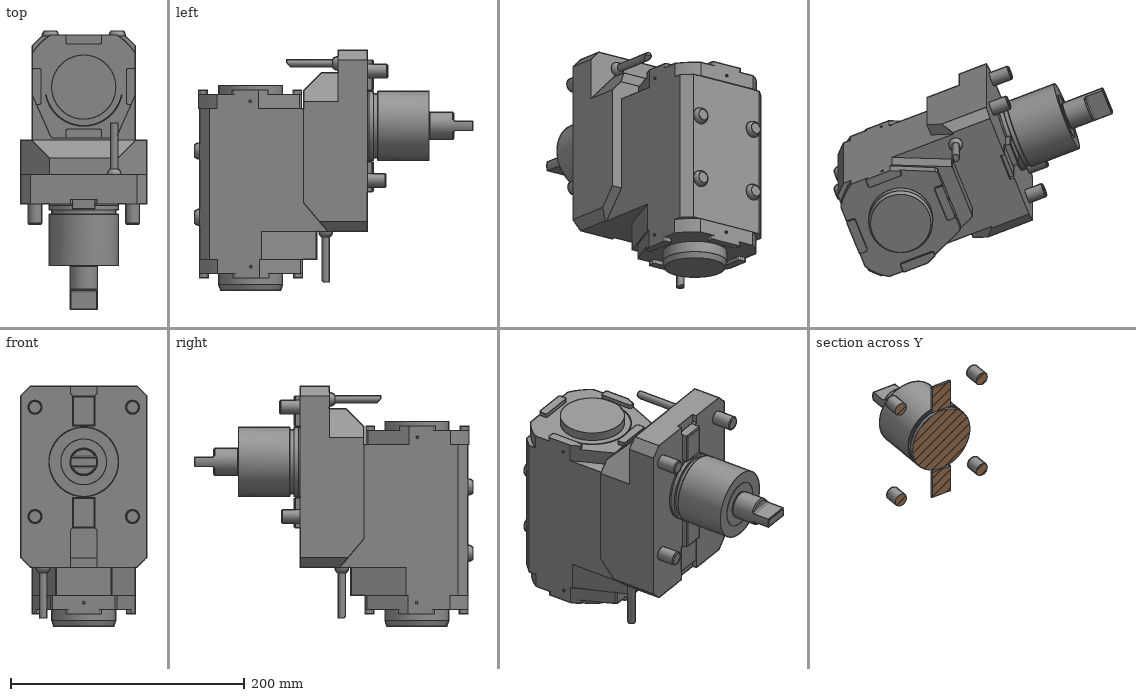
import cadquery as cq
import math


flange_width = 108.0
flange_top = 65.0
flange_bottom = -90.4
flange_thickness = 25.0
flange_corner = 8.4

block_back = 54.8
block_top = 45.7
block_side_chamfer = 24.6
block_back_chamfer = 15.3
block_slope_depth = 20.5
block_slope_height = 24.5

housing_width = 88.5
housing_front = 33.5
housing_back = 144.0
housing_top = 14.8
housing_bottom = -114.5
housing_corner = 8.4
nose_front = 43.3
nose_width = 46.9
nose_corner = 0.7
nose_taper_start = 90.9

cover_height = 12.2
cover_round_radius = 52.5
cover_taper_offset = 7.2
cover_front_width = 53.5
cover_front_corner = 1.7
cover_dot_diameter = 2.1
cover_dot_depth = 1.0
cover_dot_height = 6.2
top_cover_y = 100.7
bottom_cover_y = 100.0
tab_length = 30.5
tab_width = 7.7
tab_height = 3.5
tab_fillet = 1.7
ring_diameter = 67.0
ring_width = 0.5
ring_depth = 0.2

spindle_y = 100.2
spindle_diameter = 55.0
spindle_top = 34.7
spindle_bottom = -141.0
spindle_tip_diameter = 51.6
spindle_tip_height = 5.0

shank_diameter = 59.8
neck_diameter = 59.5
neck_end = -1.5
collar_end = -5.0
groove_diameter = 55.2
groove_end = -8.5
shank_chamfer = 0.5
shank_end = -52.8
seal_diameter = 39.2
seal_depth = 0.2
shaft_diameter = 23.7
shaft_neck_diameter = 23.0
shaft_neck_length = 0.7
shaft_end = -74.1
shaft_chamfer = 1.2
tang_end = -90.5
tang_thickness = 8.1
tang_chamfer = 0.7
tang_root_fillet = 1.2

keyway_width = 22.5
keyway_depth = 3.8
keyway_shallow_depth = 0.5
keyway_step_height = 8.0
keyway_narrowing = 1.7
key_width = 19.1
key_outer_z = 56.7
key_inner_z = 30.5
key_height = 5.0
key_chamfer = 1.0

bolt_diameter = 12.0
bolt_x = 41.8
bolt_z = 46.9
upper_bolt_length = 17.5
lower_bolt_length = 16.0
bolt_chamfer = 1.0

button_diameter = 14.0
button_flat_diameter = 9.5
button_height = 4.5
button_bulge = 0.7
button_x = 28.7
button_heights_z = (-21.5, -78.5)

pipe_diameter = 6.5
pipe_ball_diameter = 12.0
rear_pipe_x = 26.0
rear_pipe_z = 53.5
rear_pipe_length = 44.2
rear_pipe_bevel = 3.8
lower_pipe_x = -35.0
lower_pipe_y = 35.9
lower_pipe_length = 43.5
lower_pipe_bevel = 1.5


def box(x_range, y_range, z_range):
    """Box between two corner coordinates on each axis."""
    sizes = [high - low for low, high in (x_range, y_range, z_range)]
    return cq.Workplane("XY").box(*sizes, centered=False).translate((x_range[0], y_range[0], z_range[0]))


def rod_forward(diameter, start_y, end_y, x=0, z=0):
    """Cylinder along Y running from start_y forwards (towards -Y) to end_y."""
    plane = cq.Workplane("XZ", origin=(x, start_y, z))
    return plane.circle(diameter / 2).extrude(start_y - end_y)


def prism(points, z_low, z_high):
    """Vertical prism over an XY outline."""
    return cq.Workplane("XY", origin=(0, 0, z_low)).polyline(points).close().extrude(z_high - z_low)


def mirrored_outline(right_side):
    """Close an outline by mirroring its +X points to -X."""
    return right_side + [(-x, y) for x, y in reversed(right_side)]


def make_flange():
    half = flange_width / 2
    height = flange_top - flange_bottom
    middle = (flange_top + flange_bottom) / 2
    plate = cq.Workplane("XY").box(flange_width, flange_thickness, height)
    plate = plate.edges("|Y").chamfer(flange_corner)
    plate = plate.translate((0, flange_thickness / 2, middle))

    slope_profile = [
        (0, flange_bottom),
        (block_back - block_slope_depth, flange_bottom),
        (block_back, flange_bottom + block_slope_height),
        (block_back, block_top - block_back_chamfer),
        (block_back - block_back_chamfer, block_top),
        (0, block_top),
    ]
    block = cq.Workplane("YZ", origin=(-half, 0, 0)).polyline(slope_profile).close().extrude(flange_width)
    front_outline = mirrored_outline([
        (half - flange_corner, flange_bottom),
        (half, flange_bottom + flange_corner),
        (half, block_top - block_side_chamfer),
        (half - block_side_chamfer, block_top),
    ])
    envelope = cq.Workplane("XZ", origin=(0, block_back, 0)).polyline(front_outline).close().extrude(block_back)
    return plate.union(block.intersect(envelope))


def make_housing():
    half = housing_width / 2
    back = [
        (half, housing_back - housing_corner),
        (half - housing_corner, housing_back),
    ]
    body = prism(mirrored_outline([(half, housing_front)] + back), flange_bottom, housing_top)
    nose_outline = [
        (nose_width / 2, nose_front),
        (nose_width / 2 + nose_corner, nose_front + nose_corner),
        (half, nose_taper_start),
    ] + back
    nose = prism(mirrored_outline(nose_outline), housing_bottom, flange_bottom)
    return body.union(nose)


def make_cover(center_y):
    """Cover with its base on Z = 0, four edge tabs on top and a small dot hole in each side."""
    half = housing_width / 2
    front = center_y - half
    right_side = [
        (cover_front_width / 2, front),
        (cover_front_width / 2 + cover_front_corner, front + cover_front_corner),
        (half, center_y - cover_taper_offset),
        (half, center_y + half),
    ]
    outline = mirrored_outline(right_side)
    full_height = cover_height + tab_height
    center = cq.Workplane("XY").center(0, center_y)
    round_limit = center.circle(cover_round_radius).extrude(full_height)
    envelope = prism(outline, 0, full_height).intersect(round_limit)

    blank = cq.Workplane("XY").box(tab_length, tab_width, full_height, centered=(True, False, False))
    tab = blank.edges("|Z").fillet(tab_fillet).translate((0, -half, 0))
    dot = rod_forward(cover_dot_diameter, -half + cover_dot_depth, -half, 0, cover_dot_height)
    cover = center.rect(2 * half, 2 * half).extrude(cover_height)
    for angle in (0, 90, 180, 270):
        cover = cover.union(tab.rotate((0, 0, 0), (0, 0, 1), angle).translate((0, center_y, 0)))
        cover = cover.cut(dot.rotate((0, 0, 0), (0, 0, 1), angle).translate((0, center_y, 0)))
    return cover.intersect(envelope)


def make_ring_groove():
    """Shallow half-ring groove around the front of the upper spindle end."""
    floor_z = housing_top + cover_height - ring_depth
    outer_radius = ring_diameter / 2
    ring = (
        cq.Workplane("XY", origin=(0, spindle_y, floor_z))
        .circle(outer_radius)
        .circle(outer_radius - ring_width)
        .extrude(ring_depth)
    )
    front_half = box(
        (-outer_radius, outer_radius),
        (spindle_y - outer_radius, top_cover_y - cover_taper_offset),
        (floor_z, floor_z + ring_depth),
    )
    return ring.intersect(front_half)


def make_covers():
    top = make_cover(top_cover_y).translate((0, 0, housing_top))
    bottom = make_cover(bottom_cover_y).mirror("XY").translate((0, 0, housing_bottom))
    return top.cut(make_ring_groove()).union(bottom)


def make_spindle():
    radius = spindle_diameter / 2
    profile = [
        (0, spindle_bottom),
        (spindle_tip_diameter / 2, spindle_bottom),
        (radius, spindle_bottom + spindle_tip_height),
        (radius, spindle_top),
        (0, spindle_top),
    ]
    spindle = cq.Workplane("XZ").polyline(profile).close().revolve(360, (0, 0), (0, 1))
    return spindle.translate((0, spindle_y, 0))


def make_shank():
    neck = rod_forward(neck_diameter, flange_thickness, neck_end)
    collar = rod_forward(shank_diameter, neck_end, collar_end)
    groove = rod_forward(groove_diameter, collar_end, groove_end)
    cylinder = rod_forward(shank_diameter, groove_end, shank_end).faces(">Y").chamfer(shank_chamfer)
    seal_recess = rod_forward(seal_diameter, shank_end + seal_depth, shank_end)
    return neck.union(collar).union(groove).union(cylinder).cut(seal_recess)


def make_shaft():
    """Drive shaft whose end is milled to a flat tang with filleted roots."""
    neck = rod_forward(shaft_neck_diameter, 0, shank_end - shaft_neck_length)
    shaft = rod_forward(shaft_diameter, shank_end - shaft_neck_length, shaft_end)
    shaft = shaft.faces("<Y").chamfer(shaft_chamfer)
    tang = rod_forward(shaft_diameter, shaft_end + shaft_chamfer, tang_end).faces("<Y").chamfer(tang_chamfer)
    half = tang_thickness / 2
    slab_profile = (
        cq.Workplane("YZ", origin=(-shaft_diameter / 2, 0, 0))
        .moveTo(tang_end, -half + tang_chamfer)
        .lineTo(tang_end + tang_chamfer, -half)
        .lineTo(shaft_end - tang_root_fillet, -half)
        .radiusArc((shaft_end, -half - tang_root_fillet), tang_root_fillet)
        .lineTo(shaft_end + shaft_chamfer, -half - tang_root_fillet)
        .lineTo(shaft_end + shaft_chamfer, half + tang_root_fillet)
        .lineTo(shaft_end, half + tang_root_fillet)
        .radiusArc((shaft_end - tang_root_fillet, half), tang_root_fillet)
        .lineTo(tang_end + tang_chamfer, half)
        .lineTo(tang_end, half - tang_chamfer)
        .close()
    )
    return neck.union(shaft).union(tang.intersect(slab_profile.extrude(shaft_diameter)))


def make_keyway_end(edge_z, key_end_z, depth):
    """Open end of the keyway, narrowing to the key width where it meets the key."""
    direction = math.copysign(1, edge_z)
    shoulder_z = key_end_z + direction * keyway_narrowing
    outline = mirrored_outline([
        (key_width / 2, key_end_z),
        (keyway_width / 2, shoulder_z),
        (keyway_width / 2, edge_z),
    ])
    return cq.Workplane("XZ", origin=(0, depth, 0)).polyline(outline).close().extrude(depth)


def make_keyway():
    """Full depth at the top; at the bottom a shallow run that steps down to full depth at the edge."""
    half = keyway_width / 2
    upper = make_keyway_end(flange_top, key_outer_z, keyway_depth)
    lower = make_keyway_end(flange_bottom, -key_outer_z, keyway_shallow_depth)
    step = box((-half, half), (0, keyway_depth), (flange_bottom, flange_bottom + keyway_step_height))
    return upper.union(lower).union(step)


def make_keys():
    half = key_width / 2
    key = box((-half, half), (-key_height, flange_thickness / 2), (key_inner_z, key_outer_z))
    key = key.faces("<Y").chamfer(key_chamfer)
    return key.union(key.mirror("XY"))


def make_bolts():
    bolts = cq.Workplane("XY")
    for x in (-bolt_x, bolt_x):
        for z, length in ((bolt_z, upper_bolt_length), (-bolt_z, lower_bolt_length)):
            bolt = rod_forward(bolt_diameter, flange_thickness / 2, -length, x, z)
            bolts = bolts.add(bolt.faces("<Y").chamfer(bolt_chamfer))
    return bolts.combine()


def make_button_screws():
    base = button_diameter / 2
    flat = button_flat_diameter / 2
    bulge = (base + flat) / 2 + button_bulge
    head = (
        cq.Workplane("XY")
        .moveTo(0, housing_back - button_height)
        .lineTo(base, housing_back - button_height)
        .lineTo(base, housing_back)
        .threePointArc((bulge, housing_back + button_height / 2), (flat, housing_back + button_height))
        .lineTo(0, housing_back + button_height)
        .close()
        .revolve(360, (0, 0), (0, 1))
    )
    places = [(x, 0, z) for x in (-button_x, button_x) for z in button_heights_z]
    screws = cq.Workplane("XY")
    for place in places:
        screws = screws.add(head.translate(place))
    return screws.combine()


def make_pipe(length, bevel):
    """Upright pipe leaving a half-sunk ball at Z = 0, its end bevelled on the -Y side."""
    radius = pipe_diameter / 2
    pipe = cq.Workplane("XY").circle(radius).extrude(length)
    bevel_profile = [(-radius, length), (-radius, length - bevel), (bevel - radius, length)]
    bevel_plane = cq.Workplane("YZ", origin=(-radius, 0, 0))
    pipe = pipe.cut(bevel_plane.polyline(bevel_profile).close().extrude(pipe_diameter))
    ball = cq.Workplane("XY").sphere(pipe_ball_diameter / 2)
    return pipe.union(ball)


def make_pipes():
    rear = make_pipe(rear_pipe_length, rear_pipe_bevel).rotate((0, 0, 0), (1, 0, 0), -90)
    rear = rear.mirror("XY").translate((rear_pipe_x, flange_thickness, rear_pipe_z))
    lower = make_pipe(lower_pipe_length, lower_pipe_bevel).rotate((0, 0, 0), (1, 0, 0), 180)
    lower = lower.translate((lower_pipe_x, lower_pipe_y, flange_bottom))
    return rear.union(lower)


result = make_flange().cut(make_keyway()).union(make_housing())
for feature in (
    make_covers(),
    make_spindle(),
    make_shank(),
    make_shaft(),
    make_keys(),
    make_bolts(),
    make_button_screws(),
    make_pipes(),
):
    result = result.union(feature)